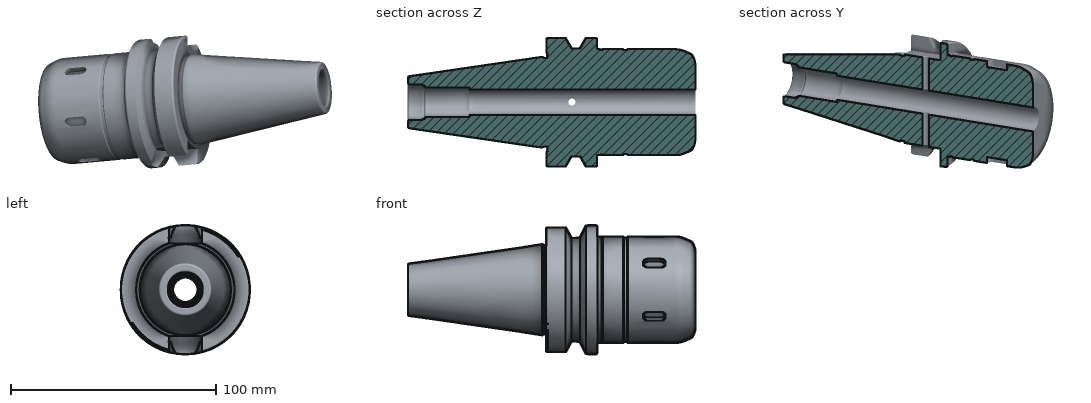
import cadquery as cq
import math


GAUGE_DIA = 44.45
TAPER_LENGTH = 65.4
TAPER_RATIO = 7 / 24
SMALL_END_RADIUS = 1.0
NECK_DIA = 43.5
NECK_START = 1.0

FLANGE_DIA = 63.0
FLANGE_START = 2.0
FLANGE_END = 27.0
FLANGE_EDGE_RADIUS = 1.0
FACE_RECESS_DIA = 48.0
FACE_RECESS_DEPTH = 0.5

GROOVE_START = 11.6
GROOVE_END = 21.4
GROOVE_ROOT_DIA = 53.0
GROOVE_WALL_ANGLE = 30.0

KEYWAY_WIDTH = 16.1
KEYWAY_FLOOR = 22.6
KEYWAY_END = 22.8

SCREW_DIA = 3.4
SCREW_MOUTH_DIA = 4.0
SCREW_X = 14.75

NUT_DIA = 52.0
NUT_END = 75.0
NUT_START = 29.0
NUT_NOTCH_DEPTH = 0.5
NUT_CHAMFER = 0.8
BODY_EDGE_RADIUS = 1.0

NOSE_START = 65.0
NOSE_SHOULDER_RADIUS = 10.7
NOSE_CONE_ANGLE = 22.5
NOSE_CONE_LENGTH = 3.2
NOSE_CORNER_RADIUS = 3.3
NOSE_CORNER_ANGLE = 60.0

RING_DIA = 51.0
RING_START = 39.5
RING_END = 42.0

SLOT_COUNT = 6
SLOT_LENGTH = 11.0
SLOT_WIDTH = 5.0
SLOT_DEPTH = 3.0
SLOT_X = 54.8

BORE_DIA = 12.0
THREAD_DIA = 14.25
THREAD_DEPTH = 30.0
RELIEF_DIA = 16.0
RELIEF_DEPTH = 8.0
PILOT_DIA = 17.0
PILOT_DEPTH = 7.0
MOUTH_RADIUS = 1.15


def slope_arc(start, radius, first_angle, last_angle):
    """Middle and end point of a convex arc turning towards the axis."""

    def point_at(angle):
        first = math.radians(first_angle)
        turned = math.radians(angle)
        x = start[0] + radius * (math.sin(turned) - math.sin(first))
        y = start[1] - radius * (math.cos(first) - math.cos(turned))
        return (x, y)

    return point_at((first_angle + last_angle) / 2), point_at(last_angle)


def make_body():
    """Solid of revolution: taper, flange with gripper groove, and nut."""
    tail = -TAPER_LENGTH
    tail_radius = (GAUGE_DIA - TAPER_RATIO * TAPER_LENGTH) / 2
    taper_slope = -math.degrees(math.atan(TAPER_RATIO / 2))
    tail_edge_reach = SMALL_END_RADIUS * math.tan(math.radians(90 + taper_slope) / 2)
    tail_edge_start = (tail, tail_radius - tail_edge_reach)
    tail_edge_mid, tail_edge_end = slope_arc(tail_edge_start, SMALL_END_RADIUS, -90, taper_slope)
    flange_radius = FLANGE_DIA / 2
    recess_floor = FLANGE_START + FACE_RECESS_DEPTH
    groove_depth = (FLANGE_DIA - GROOVE_ROOT_DIA) / 2
    groove_run = groove_depth * math.tan(math.radians(GROOVE_WALL_ANGLE))
    nut_radius = NUT_DIA / 2
    notch_radius = nut_radius - NUT_NOTCH_DEPTH
    body_edge_start = (NUT_START - BODY_EDGE_RADIUS, nut_radius)
    body_edge_mid, body_edge_end = slope_arc(body_edge_start, BODY_EDGE_RADIUS, 0, 90)
    ring_depth = (NUT_DIA - RING_DIA) / 2
    rear_edge_start = (FLANGE_START, flange_radius - FLANGE_EDGE_RADIUS)
    rear_edge_mid, rear_edge_end = slope_arc(rear_edge_start, FLANGE_EDGE_RADIUS, -90, 0)
    front_edge_start = (FLANGE_END - FLANGE_EDGE_RADIUS, flange_radius)
    front_edge_mid, front_edge_end = slope_arc(front_edge_start, FLANGE_EDGE_RADIUS, 0, 90)

    cone_slope = math.radians(NOSE_CONE_ANGLE)
    shoulder_start = (NOSE_START, nut_radius)
    shoulder_mid, shoulder_end = slope_arc(shoulder_start, NOSE_SHOULDER_RADIUS, 0, NOSE_CONE_ANGLE)
    cone_end = (
        shoulder_end[0] + NOSE_CONE_LENGTH * math.cos(cone_slope),
        shoulder_end[1] - NOSE_CONE_LENGTH * math.sin(cone_slope),
    )
    corner_mid, corner_end = slope_arc(cone_end, NOSE_CORNER_RADIUS, NOSE_CONE_ANGLE, NOSE_CORNER_ANGLE)
    face_arc_radius = (NUT_END - corner_end[0]) / (1 - math.sin(math.radians(NOSE_CORNER_ANGLE)))
    face_mid, face_end = slope_arc(corner_end, face_arc_radius, NOSE_CORNER_ANGLE, 90)

    profile = (
        cq.Workplane("XY")
        .moveTo(tail, 0)
        .lineTo(*tail_edge_start)
        .threePointArc(tail_edge_mid, tail_edge_end)
        .lineTo(0, GAUGE_DIA / 2)
        .lineTo(NECK_START, NECK_DIA / 2)
        .lineTo(recess_floor, NECK_DIA / 2)
        .lineTo(recess_floor, FACE_RECESS_DIA / 2)
        .lineTo(FLANGE_START, FACE_RECESS_DIA / 2)
        .lineTo(*rear_edge_start)
        .threePointArc(rear_edge_mid, rear_edge_end)
        .lineTo(GROOVE_START, flange_radius)
        .lineTo(GROOVE_START + groove_run, GROOVE_ROOT_DIA / 2)
        .lineTo(GROOVE_END - groove_run, GROOVE_ROOT_DIA / 2)
        .lineTo(GROOVE_END, flange_radius)
        .lineTo(*front_edge_start)
        .threePointArc(front_edge_mid, front_edge_end)
        .lineTo(FLANGE_END, nut_radius)
        .lineTo(*body_edge_start)
        .threePointArc(body_edge_mid, body_edge_end)
        .lineTo(NUT_START, notch_radius)
        .lineTo(NUT_START + NUT_CHAMFER, nut_radius)
        .lineTo(RING_START, nut_radius)
        .lineTo(RING_START + ring_depth, RING_DIA / 2)
        .lineTo(RING_END - ring_depth, RING_DIA / 2)
        .lineTo(RING_END, nut_radius)
        .lineTo(*shoulder_start)
        .threePointArc(shoulder_mid, shoulder_end)
        .lineTo(*cone_end)
        .threePointArc(corner_mid, corner_end)
        .threePointArc(face_mid, face_end)
        .lineTo(NUT_END, 0)
        .close()
    )
    return profile.revolve(360, (0, 0, 0), (1, 0, 0))


def make_bore():
    """Through bore, stepped and opened out at the small end of the taper."""
    tail = -TAPER_LENGTH
    cone_length = (RELIEF_DIA - THREAD_DIA) / 2
    mouth_inset = MOUTH_RADIUS * (1 - math.sqrt(0.5))
    profile = (
        cq.Workplane("XY")
        .moveTo(tail, 0)
        .lineTo(tail, PILOT_DIA / 2 + MOUTH_RADIUS)
        .threePointArc(
            (tail + mouth_inset, PILOT_DIA / 2 + mouth_inset),
            (tail + MOUTH_RADIUS, PILOT_DIA / 2),
        )
        .lineTo(tail + PILOT_DEPTH, PILOT_DIA / 2)
        .lineTo(tail + PILOT_DEPTH, RELIEF_DIA / 2)
        .lineTo(tail + RELIEF_DEPTH, RELIEF_DIA / 2)
        .lineTo(tail + RELIEF_DEPTH + cone_length, THREAD_DIA / 2)
        .lineTo(tail + THREAD_DEPTH, THREAD_DIA / 2)
        .lineTo(tail + THREAD_DEPTH, BORE_DIA / 2)
        .lineTo(NUT_END, BORE_DIA / 2)
        .lineTo(NUT_END, 0)
        .close()
    )
    return profile.revolve(360, (0, 0, 0), (1, 0, 0))


def make_keyway():
    """Round-ended keyway on the +Z side with the screw hole in its floor."""
    half_width = KEYWAY_WIDTH / 2
    keyway = (
        cq.Workplane("XY", origin=(0, 0, KEYWAY_FLOOR))
        .moveTo(FLANGE_START, -half_width)
        .lineTo(KEYWAY_END - half_width, -half_width)
        .threePointArc((KEYWAY_END, 0), (KEYWAY_END - half_width, half_width))
        .lineTo(FLANGE_START, half_width)
        .close()
        .extrude(FLANGE_DIA / 2 - KEYWAY_FLOOR)
    )
    mouth_depth = (SCREW_MOUTH_DIA - SCREW_DIA) / 2
    screw_hole = (
        cq.Workplane("XZ")
        .moveTo(SCREW_X, 0)
        .lineTo(SCREW_X + SCREW_DIA / 2, 0)
        .lineTo(SCREW_X + SCREW_DIA / 2, KEYWAY_FLOOR - mouth_depth)
        .lineTo(SCREW_X + SCREW_MOUTH_DIA / 2, KEYWAY_FLOOR)
        .lineTo(SCREW_X, KEYWAY_FLOOR)
        .close()
        .revolve(360, (SCREW_X, 0, 0), (SCREW_X, 1, 0))
    )
    return keyway.union(screw_hole)


def make_spanner_slot():
    """Flat-bottomed slot on the +Z side of the nut, long side along X."""
    return (
        cq.Workplane("XY", origin=(SLOT_X, 0, NUT_DIA / 2 - SLOT_DEPTH))
        .slot2D(SLOT_LENGTH, SLOT_WIDTH)
        .extrude(SLOT_DEPTH)
    )


def cut_around_axis(part, cutter, count):
    """Cut the part with equally spaced copies of a cutter turned about X."""
    for index in range(count):
        part = part.cut(cutter.rotate((0, 0, 0), (1, 0, 0), index * 360 / count))
    return part


result = make_body().cut(make_bore())
result = cut_around_axis(result, make_keyway(), 2)
result = cut_around_axis(result, make_spanner_slot(), SLOT_COUNT)